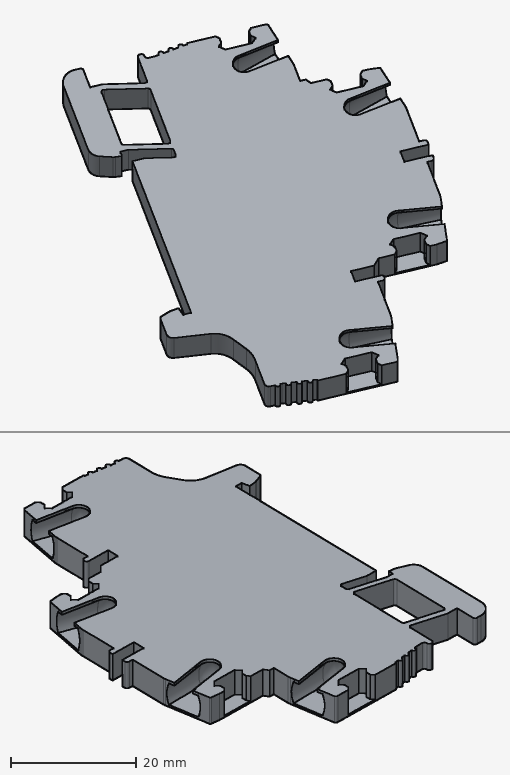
import cadquery as cq
import math

THICKNESS = 5.2
LENGTH = 71.95
HEIGHT = 52.3
TOP_Y = HEIGHT / 2
BOTTOM_Y = -TOP_Y

WALL_X = 35.9
TIER_TOP = 10.3
TIER_RISE = 14.6
UPPER_CENTER = -3.75
UPPER_WALL = 18.65
TILT = 10.0
SHOULDER = 9.15
SHOULDER_DROP = SHOULDER * math.tan(math.radians(TILT))
UPPER_TOP = TIER_TOP + TIER_RISE
DRAFT = 0.2
DRAFT_Y = 21.45
SHOULDER_ROUND = 2.9
LOWER_CORNER_ROUND = 0.4
UPPER_CORNER_ROUND = 0.2
STEP_Y = 11.8
STEP_LEDGE_X = -23.3
STEP_LEDGE_Y = 11.2

MARKER_WIDTH = 2.2
MARKER_DEPTH = 4.75
PRONG = 1.1
PRONG_ROUND = 0.5
MARKER_CENTER = -3.8
SIDE_MARKER_X = 16.1
SIDE_MARKER_INNER_Y = 10.65
SIDE_PRONG_TOP = 11.6

GRIP_TOP = -4.75
GRIP_END = -10.4
GRIP_TOP_X = 35.7
GRIP_BASE_X = 34.8
RIB_RADIUS = 0.4
RIB_FIRST_Y = -5.9
RIB_PITCH = 1.7
RIB_STEP_IN = 0.245
LEFT_RIBS = 3
RIGHT_RIBS = 4
GRIP_CORNER_ROUND = 0.7
LEFT_LUG_TOP = -12.0
LUG_ROUND = 0.5

UNDERSIDE = -13.1
RAIL_SEAT = -20.1
LEG_LEAN = math.tan(math.radians(15.0))
LEG_ROUND = 0.4
LEG_END = -20.1
OUTER_LEG_X = -29.9
INNER_LEG_X = -16.0
RELIEF_X = -14.1
RELIEF_BEND_Y = -18.0
FOOT_LEFT = -WALL_X
FOOT_TOP = -22.15
FOOT_ROUND = 2.65
FOOT_TOP_ROUND = 0.5
TOE_X = -18.4
TOE_BEND = (-17.05, -22.7)
TOE_ROUND = 2.0
CATCH_Y = -21.4
CATCH_X = -16.9
WINDOW_LEFT = -28.8
WINDOW_RIGHT = -17.05
WINDOW_BOTTOM = -20.7
HOOK_BOTTOM = -25.1
HOOK_SEAT_X = 16.85
HOOK_TIP = (15.3, -21.7)
HOOK_BEND = (15.55, -23.25)
HOOK_INNER_X = 16.25
HOOK_OUTER_X = 20.8
HOOK_INNER_ROUND = 0.4
HOOK_OUTER_ROUND = 1.1
HOOK_ROOT = (22.15, -16.25)
HOOK_ROOT_ROUND = 4.3
HAUNCH_X = 27.6
HAUNCH_ROUND = 5.05
BEND_ROUND = 1.45

TERMINAL_RISE = 14.45

POCKET_FLOOR = 0.35
POCKET_Y = 2.95
POCKET_DEPTH = 3.0
POCKET_MOUTH = 2.95
POCKET_NECK = 2.45
POCKET_PEAK = 3.1
POCKET_BACK = 2.2
NECK_START = 0.6
NECK_END = 1.5
PEAK_DEPTH = 2.15

SLOT_RADIUS = 1.8
SLOT_END_X = -29.3
SLOT_END_Y = 2.7
SLOT_FLOOR = 0.4
LIP = 0.6
RECESS_ROOF = THICKNESS - LIP
RECESS_MIDDLE = (SLOT_FLOOR + RECESS_ROOF) / 2
RECESS_BULGE = 0.4
RECESS_TAPER = 0.15
SLOT_REACH = 9.35


def rounded_outline(corners):
    """Closed wire through (x, y, radius) corners; a radius of 0 leaves the corner sharp."""
    wire = None
    count = len(corners)
    for i, (x, y, radius) in enumerate(corners):
        corner = cq.Vector(x, y)
        to_last = (cq.Vector(*corners[i - 1][:2]) - corner).normalized()
        to_next = (cq.Vector(*corners[(i + 1) % count][:2]) - corner).normalized()
        half_angle = to_last.getAngle(to_next) / 2
        setback = radius / math.tan(half_angle)
        start = corner + to_last * setback
        wire = wire.lineTo(start.x, start.y) if wire else cq.Workplane().moveTo(start.x, start.y)
        if radius:
            bisector = (to_last + to_next).normalized()
            middle = corner + bisector * (radius / math.sin(half_angle) - radius)
            end = corner + to_next * setback
            wire = wire.threePointArc((middle.x, middle.y), (end.x, end.y))
    return wire.close()


def upper_edge():
    """Corners of both tiers, from the left grip over the top to the right grip."""
    left = UPPER_CENTER - UPPER_WALL
    right = UPPER_CENTER + UPPER_WALL
    gap_left = MARKER_CENTER - MARKER_WIDTH / 2
    gap_right = MARKER_CENTER + MARKER_WIDTH / 2
    side_gap_right = SIDE_MARKER_X + MARKER_WIDTH
    gap_floor = TOP_Y - MARKER_DEPTH
    return [
        (-WALL_X, GRIP_TOP, 0),
        (-WALL_X, TIER_TOP - SHOULDER_DROP, LOWER_CORNER_ROUND),
        (-WALL_X + SHOULDER, TIER_TOP, SHOULDER_ROUND),
        (STEP_LEDGE_X, TIER_TOP, 0),
        (STEP_LEDGE_X, STEP_LEDGE_Y, 0),
        (left, STEP_Y, 0),
        (left, DRAFT_Y, 0),
        (left + DRAFT, UPPER_TOP - SHOULDER_DROP, UPPER_CORNER_ROUND),
        (left + SHOULDER, UPPER_TOP, SHOULDER_ROUND),
        (gap_left - PRONG, UPPER_TOP, 0),
        (gap_left - PRONG, TOP_Y, PRONG_ROUND),
        (gap_left, TOP_Y, 0),
        (gap_left, gap_floor, 0),
        (gap_right, gap_floor, 0),
        (gap_right, TOP_Y, 0),
        (gap_right + PRONG, TOP_Y, PRONG_ROUND),
        (gap_right + PRONG, UPPER_TOP, 0),
        (right - SHOULDER, UPPER_TOP, SHOULDER_ROUND),
        (right - DRAFT, UPPER_TOP - SHOULDER_DROP, UPPER_CORNER_ROUND),
        (right, DRAFT_Y, 0),
        (right, STEP_Y, 0),
        (SIDE_MARKER_X, SIDE_MARKER_INNER_Y, 0),
        (SIDE_MARKER_X, gap_floor - TIER_RISE, 0),
        (side_gap_right, gap_floor - TIER_RISE, 0),
        (side_gap_right, SIDE_PRONG_TOP, PRONG_ROUND),
        (side_gap_right + PRONG, SIDE_PRONG_TOP, PRONG_ROUND),
        (side_gap_right + PRONG, TIER_TOP, 0),
        (WALL_X - SHOULDER, TIER_TOP, SHOULDER_ROUND),
        (WALL_X, TIER_TOP - SHOULDER_DROP, LOWER_CORNER_ROUND),
        (WALL_X, GRIP_TOP, 0),
    ]


def lean(x, y):
    """X on a leaning leg face at height y, for a face that meets the underside at x."""
    return x - (UNDERSIDE - y) * LEG_LEAN


def lower_edge():
    """Corners of the right grip, the hook, the rail seat, the spring foot and the left grip."""
    leg_x = lean(OUTER_LEG_X, LEG_END)
    inner_leg_x = lean(INNER_LEG_X, LEG_END)
    relief_x = lean(RELIEF_X, RELIEF_BEND_Y)
    return [
        (GRIP_TOP_X, GRIP_TOP, 0),
        (GRIP_BASE_X, GRIP_END, 0),
        (GRIP_BASE_X, UNDERSIDE, GRIP_CORNER_ROUND),
        (HAUNCH_X, UNDERSIDE, HAUNCH_ROUND),
        (*HOOK_ROOT, HOOK_ROOT_ROUND),
        (HOOK_OUTER_X, HOOK_BOTTOM, HOOK_OUTER_ROUND),
        (HOOK_INNER_X, HOOK_BOTTOM, HOOK_INNER_ROUND),
        (*HOOK_BEND, BEND_ROUND),
        (*HOOK_TIP, 0),
        (HOOK_SEAT_X, CATCH_Y, 0),
        (HOOK_SEAT_X, RAIL_SEAT, 0),
        (relief_x, RAIL_SEAT, 0),
        (relief_x, RELIEF_BEND_Y, 0),
        (RELIEF_X, UNDERSIDE, LEG_ROUND),
        (INNER_LEG_X, UNDERSIDE, LEG_ROUND),
        (inner_leg_x, LEG_END, 0),
        (inner_leg_x, CATCH_Y, 0),
        (CATCH_X, CATCH_Y, 0),
        (*TOE_BEND, BEND_ROUND),
        (TOE_X, BOTTOM_Y, TOE_ROUND),
        (FOOT_LEFT, BOTTOM_Y, FOOT_ROUND),
        (FOOT_LEFT, FOOT_TOP, FOOT_TOP_ROUND),
        (leg_x, FOOT_TOP, 0),
        (leg_x, LEG_END, 0),
        (OUTER_LEG_X, UNDERSIDE, LEG_ROUND),
        (-WALL_X, UNDERSIDE, LUG_ROUND),
        (-WALL_X, LEFT_LUG_TOP, LUG_ROUND),
        (-GRIP_BASE_X, LEFT_LUG_TOP, LUG_ROUND),
        (-GRIP_BASE_X, GRIP_END, 0),
        (-GRIP_TOP_X, GRIP_TOP, 0),
    ]


def grip_ribs(side, count):
    """Round upright ribs on one grip; side is -1 for the left end and 1 for the right."""
    centers = [
        (side * (LENGTH / 2 - RIB_RADIUS - i * RIB_STEP_IN), RIB_FIRST_Y - i * RIB_PITCH)
        for i in range(count)
    ]
    return cq.Workplane().pushPoints(centers).circle(RIB_RADIUS).extrude(THICKNESS)


def leg_window():
    """Leaning four-sided opening between the two legs of the spring foot."""
    corners = [
        (WINDOW_LEFT, UNDERSIDE, LEG_ROUND),
        (WINDOW_RIGHT, UNDERSIDE, LEG_ROUND),
        (lean(WINDOW_RIGHT, WINDOW_BOTTOM), WINDOW_BOTTOM, LEG_ROUND),
        (lean(WINDOW_LEFT, WINDOW_BOTTOM), WINDOW_BOTTOM, LEG_ROUND),
    ]
    return rounded_outline(corners).extrude(THICKNESS)


def wire_pocket():
    """Pocket cut into the left wall of the lower tier."""
    half = [
        (0, POCKET_MOUTH),
        (NECK_START, POCKET_NECK),
        (NECK_END, POCKET_NECK),
        (PEAK_DEPTH, POCKET_PEAK),
        (POCKET_DEPTH, POCKET_BACK),
    ]
    upper = [(depth - WALL_X, POCKET_Y + width) for depth, width in half]
    lower = [(depth - WALL_X, POCKET_Y - width) for depth, width in reversed(half)]
    profile = cq.Workplane(origin=(0, 0, POCKET_FLOOR)).polyline(upper + lower).close()
    return profile.extrude(THICKNESS)


def recess_section(workplane, half_width):
    """Cross-section of the recess: flat floor and roof, side walls hollowed to arcs."""
    return (
        workplane.moveTo(-half_width, SLOT_FLOOR)
        .lineTo(half_width, SLOT_FLOOR)
        .threePointArc((half_width + RECESS_BULGE, RECESS_MIDDLE), (half_width, RECESS_ROOF))
        .lineTo(-half_width, RECESS_ROOF)
        .threePointArc((-half_width - RECESS_BULGE, RECESS_MIDDLE), (-half_width, SLOT_FLOOR))
        .close()
    )


def recess_end():
    """Round inner end of the recess, hollowed like its side walls."""
    return (
        cq.Workplane("XZ")
        .moveTo(0, SLOT_FLOOR)
        .lineTo(SLOT_RADIUS, SLOT_FLOOR)
        .threePointArc((SLOT_RADIUS + RECESS_BULGE, RECESS_MIDDLE), (SLOT_RADIUS, RECESS_ROOF))
        .lineTo(0, RECESS_ROOF)
        .close()
        .revolve(360, (0, 0), (0, 1))
    )


def tool_slot():
    """Slot and recess on the left shoulder of the lower tier."""
    slot = (
        cq.Workplane(origin=(0, 0, SLOT_FLOOR))
        .moveTo(-SLOT_RADIUS, SLOT_REACH)
        .lineTo(-SLOT_RADIUS, 0)
        .threePointArc((0, -SLOT_RADIUS), (SLOT_RADIUS, 0))
        .lineTo(SLOT_RADIUS, SLOT_REACH)
        .close()
        .extrude(THICKNESS)
    )
    inner = recess_section(cq.Workplane("XZ"), SLOT_RADIUS)
    mouth_half = SLOT_RADIUS + RECESS_TAPER * SLOT_REACH
    recess = recess_section(inner.workplane(offset=-SLOT_REACH), mouth_half).loft(ruled=True)
    cutter = slot.union(recess).union(recess_end())
    return cutter.rotate((0, 0, 0), (0, 0, 1), TILT).translate((SLOT_END_X, SLOT_END_Y, 0))


def on_all_corners(cutter):
    """The cutter on the left and right of the lower tier, then on both sides of the upper tier."""
    raised = cutter.translate((WALL_X - UPPER_WALL, TERMINAL_RISE, 0))
    upper_shift = (UPPER_CENTER, 0, 0)
    return [
        cutter,
        cutter.mirror("YZ"),
        raised.translate(upper_shift),
        raised.mirror("YZ").translate(upper_shift),
    ]


def make_housing():
    """Plate with its grips, spring foot and hook, less the pockets and tool slots."""
    body = rounded_outline(upper_edge() + lower_edge()).extrude(THICKNESS)
    body = body.union(grip_ribs(-1, LEFT_RIBS)).union(grip_ribs(1, RIGHT_RIBS))
    body = body.cut(leg_window())
    for cutter in on_all_corners(wire_pocket()) + on_all_corners(tool_slot()):
        body = body.cut(cutter)
    return body


housing = make_housing()
result = cq.Compound.makeCompound([housing.val()])